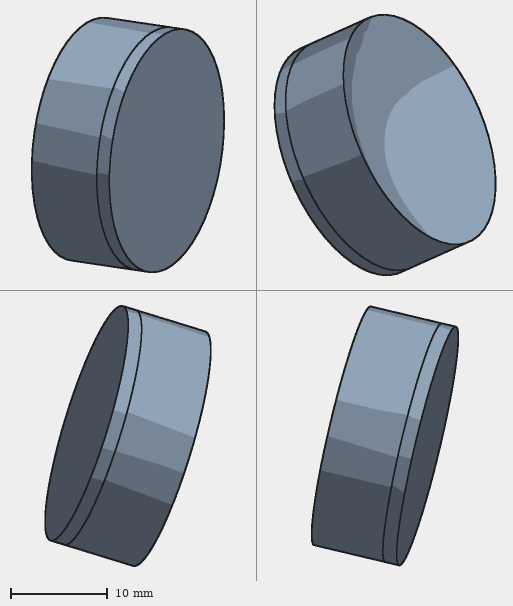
import cadquery as cq

diameter = 25.4
radius = diameter / 2
front_edge_thickness = 7.62
rear_edge_thickness = 1.47
concave_sag = 3.15
convex_sag = 0.08

joint_x = front_edge_thickness
rear_rim_x = joint_x + rear_edge_thickness


def arc_radius(sag):
    """Radius of the sphere that has the given sag across the full diameter."""
    return (radius**2 + sag**2) / (2 * sag)


def revolve_about_x(profile):
    """Turn a closed half profile in the XY plane into a solid about the X axis."""
    return profile.close().revolve(360, (0, 0, 0), (1, 0, 0))


def arc_midpoint(rim_x, sag):
    """Point halfway in height on the arc from the rim to a pole at rim_x + sag."""
    sphere_radius = arc_radius(sag)
    half_height = radius / 2
    drop = sphere_radius - (sphere_radius**2 - half_height**2) ** 0.5
    return (rim_x + sag - drop, half_height)


def make_concave_element():
    """Thick element: spherical hollow on -X, flat joint face on +X."""
    profile = (
        cq.Workplane("XY")
        .moveTo(concave_sag, 0)
        .threePointArc(arc_midpoint(0, concave_sag), (0, radius))
        .lineTo(joint_x, radius)
        .lineTo(joint_x, 0)
    )
    return revolve_about_x(profile)


def make_convex_element():
    """Thin element: flat joint face on -X, shallow spherical face on +X."""
    profile = (
        cq.Workplane("XY")
        .moveTo(joint_x, 0)
        .lineTo(joint_x, radius)
        .lineTo(rear_rim_x, radius)
        .threePointArc(arc_midpoint(rear_rim_x, convex_sag), (rear_rim_x + convex_sag, 0))
    )
    return revolve_about_x(profile)


concave_element = make_concave_element()
convex_element = make_convex_element()

result = cq.Compound.makeCompound([concave_element.val(), convex_element.val()])